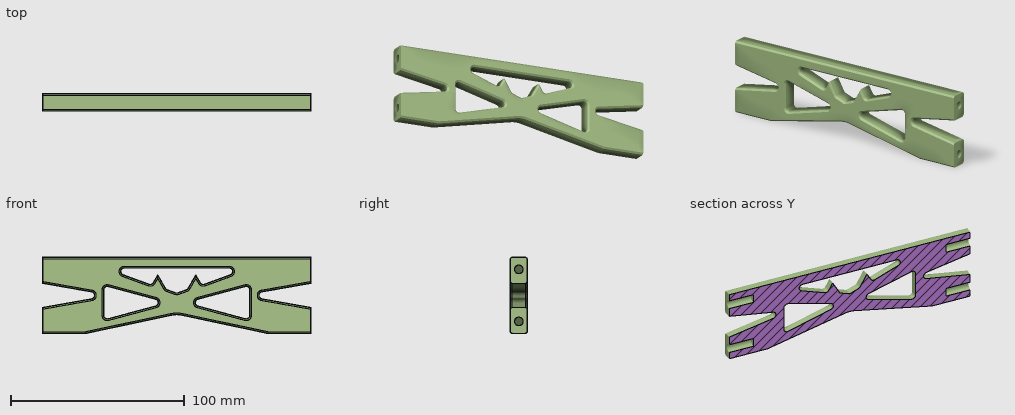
import cadquery as cq
import math

length = 154.3
thickness = 10.0
height = 44.0
half_length = length / 2
half_height = height / 2

corner_radius = 2.0
edge_chamfer = 1.0

ramp_start_x = 52.6
ramp_angle = 12.0
crest_radius = 13.9

slot_mouth_half_height = 7.0
slot_angle = 10.0

window_outer_x = 42.0
window_tip_x = 10.6
window_z = -4.2
window_angle = 15.0

crown_top_z = 15.7
crown_base_z = 1.2
crown_peak_x = 11.0
crown_peak_z = 11.7
crown_valley_x = 14.3
shallow_angle = 20.0
steep_angle = 60.0

hole_diameter = 5.0
hole_depth = 15.5
hole_z = 15.0

position_tolerance = 0.02


def slope(angle):
    """Rise per unit of run of a line at this angle to the X axis."""
    return math.tan(math.radians(angle))


def prism(points):
    """Extrude an XZ outline through the thickness, centred on Y = 0."""
    return cq.Workplane("XZ").polyline(points).close().extrude(thickness / 2, both=True)


def mirrored_outline(right_points):
    """Close a right-hand outline, listed top to bottom, with its mirror image across X = 0."""
    left_points = [(-x, z) for x, z in reversed(right_points) if x > 0]
    return right_points + left_points


def body():
    crest_z = -half_height + ramp_start_x * slope(ramp_angle)
    outline = mirrored_outline([
        (half_length, half_height),
        (half_length, -half_height),
        (ramp_start_x, -half_height),
        (0, crest_z),
    ])
    crest_edge = cq.NearestToPointSelector((0, 0, crest_z))
    return prism(outline).edges("|Y").edges(crest_edge).fillet(crest_radius)


def end_slot():
    """V slot in the +X end, with its sharp inner corner rounded."""
    apex_x = half_length - slot_mouth_half_height / slope(slot_angle)
    slot = prism([
        (half_length, slot_mouth_half_height),
        (apex_x, 0),
        (half_length, -slot_mouth_half_height),
    ])
    return slot.edges("|Y and <X").fillet(corner_radius)


def side_window():
    """Triangle on the +X side, with all three corners rounded."""
    tip_overshoot = corner_radius / math.sin(math.radians(window_angle)) - corner_radius
    apex_x = window_tip_x - tip_overshoot
    half_base = (window_outer_x - apex_x) * slope(window_angle)
    window = prism([
        (apex_x, window_z),
        (window_outer_x, window_z + half_base),
        (window_outer_x, window_z - half_base),
    ])
    return window.edges("|Y").fillet(corner_radius)


def crown_window():
    """Window with two sharp peaks rising from its floor; every other corner is rounded."""
    valley_z = crown_peak_z - (crown_valley_x - crown_peak_x) * slope(steep_angle)
    end_x = crown_valley_x + (crown_top_z - valley_z) / slope(shallow_angle)
    peak_above_base = crown_peak_z - crown_base_z
    slope_difference = slope(steep_angle) - slope(shallow_angle)
    knee_x = (crown_peak_x * slope(steep_angle) - peak_above_base) / slope_difference
    knee_z = crown_base_z + knee_x * slope(shallow_angle)
    outline = mirrored_outline([
        (end_x, crown_top_z),
        (crown_valley_x, valley_z),
        (crown_peak_x, crown_peak_z),
        (knee_x, knee_z),
        (0, crown_base_z),
    ])
    window = prism(outline)
    rounded = window.edges("|Y").filter(
        lambda edge: abs(abs(edge.Center().x) - crown_peak_x) > position_tolerance
    )
    return rounded.fillet(corner_radius)


def end_holes():
    """Blind holes in the +X end, one in each arm."""
    return (
        cq.Workplane("YZ", origin=(half_length - hole_depth, 0, 0))
        .pushPoints([(0, hole_z), (0, -hole_z)])
        .circle(hole_diameter / 2)
        .extrude(hole_depth)
    )


def cut_both_sides(solid, cutter):
    """Remove a cutter and its mirror image across X = 0."""
    return solid.cut(cutter).cut(cutter.mirror("YZ"))


def chamfer_faces(solid):
    """Bevel the front and back faces all round, except along the flat ends."""
    face_edges = solid.faces("<Y or >Y").edges()
    bevelled = face_edges.filter(
        lambda edge: abs(edge.Center().x) < half_length - position_tolerance
    )
    return bevelled.chamfer(edge_chamfer)


result = body().cut(crown_window())
result = cut_both_sides(result, end_slot())
result = cut_both_sides(result, side_window())
result = chamfer_faces(result)
result = cut_both_sides(result, end_holes())